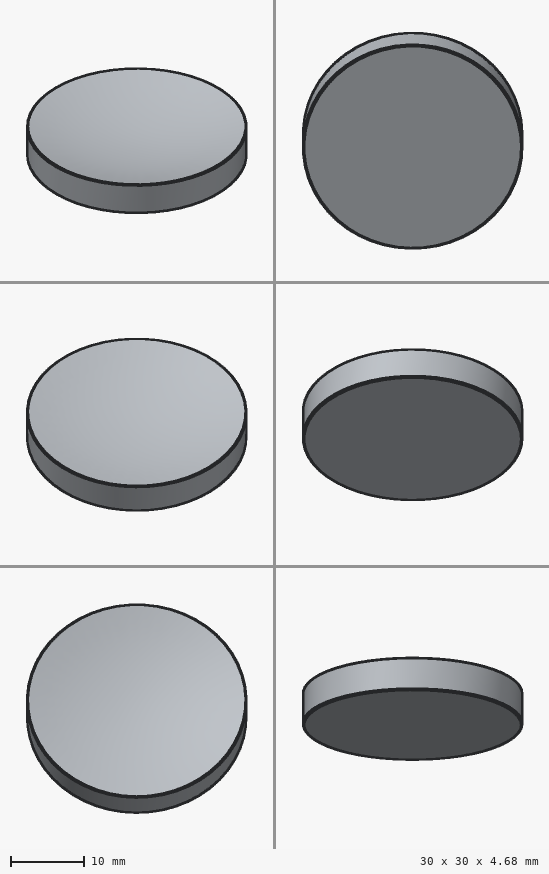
import cadquery as cq
import math

diameter = 30.0
edge_thickness = 4.68
center_thickness = 2.5
top_bevel = 0.15
bottom_bevel = 0.2

radius = diameter / 2
dish_rim_radius = radius - top_bevel
dish_depth = edge_thickness - center_thickness

sphere_radius = (dish_rim_radius**2 + dish_depth**2) / (2 * dish_depth)

mid_radius = dish_rim_radius / 2
mid_height = center_thickness + sphere_radius - math.sqrt(sphere_radius**2 - mid_radius**2)


def lens_profile():
    """Half section of the lens in the XZ plane, from the axis outwards."""
    return (
        cq.Workplane("XZ")
        .moveTo(0, 0)
        .lineTo(radius - bottom_bevel, 0)
        .lineTo(radius, bottom_bevel)
        .lineTo(radius, edge_thickness - top_bevel)
        .lineTo(dish_rim_radius, edge_thickness)
        .threePointArc((mid_radius, mid_height), (0, center_thickness))
        .close()
    )


result = lens_profile().revolve(360, (0, 0, 0), (0, 1, 0))